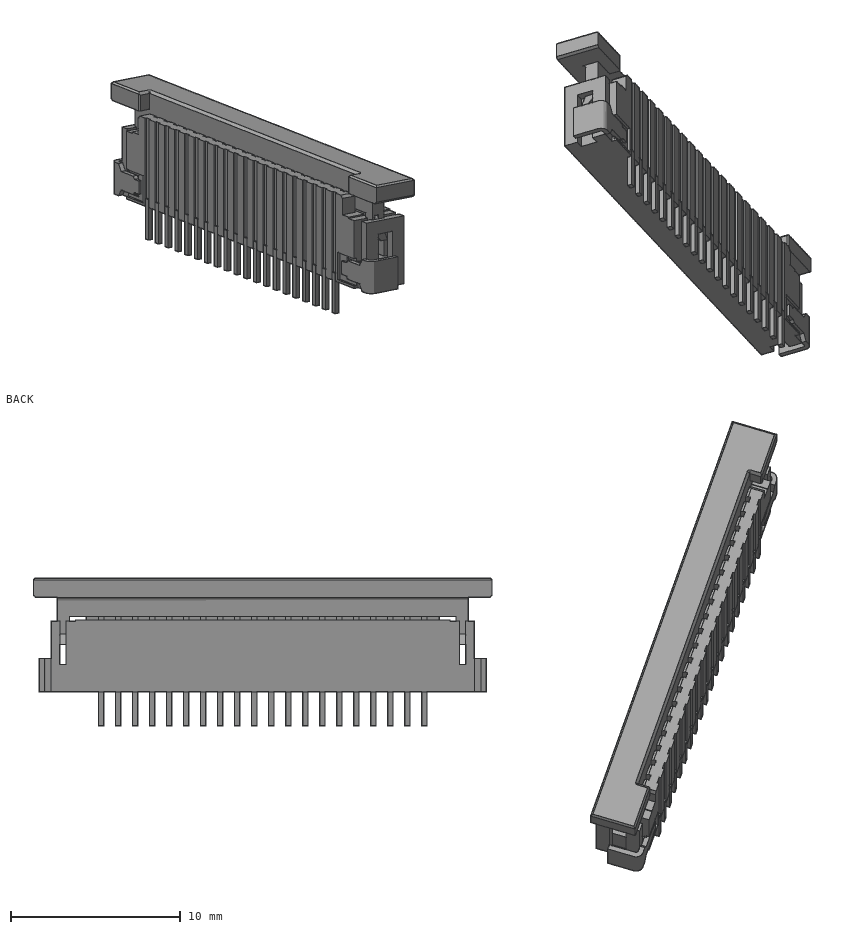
import cadquery as cq


LENGTH = 27.0
DEPTH = 3.0
HEIGHT = 8.7
FRONT = -DEPTH / 2
BACK = DEPTH / 2

PIN_COUNT = 20
PIN_ROW = 19.0
PIN_PITCH = PIN_ROW / (PIN_COUNT - 1)
PIN_WIDTH = 0.32
PIN_THICKNESS = 0.27
PIN_TOP = 2.48
GROOVE_WIDTH = 0.38
GROOVE_DEPTH = 0.1

BODY_HALF = 11.58
BODY_BOTTOM = 2.0
BODY_TOP = 6.25
SHOULDER_TOP = 6.15
SHOULDER_HALF = 11.02
WALL_HALF = 10.4
WALL_TOP = 7.4
WALL_THICKNESS = 0.92
WALL_CHAMFER = 0.15
NOTCH_DEPTH = 0.3

SLOT_FRONT = FRONT + 1.13
SLOT_BACK = FRONT + 2.15
SLOT_FLOOR = 3.62
WINDOW_TOP = 5.35

CLIP_HALF = 13.15
CLIP_THICKNESS = 0.3
CLIP_TOP = 3.97
CLIP_BEND = 0.43
CLIP_BACK = FRONT + 2.05
CLIP_MIDDLE = (CLIP_TOP + BODY_BOTTOM) / 2
TONGUE_HALF = 0.57
TONGUE_TIP_HALF = 0.4
TONGUE_TIP = 10.31
TONGUE_STEP = 10.77
TONGUE_STEP_RUN = 0.15
TONGUE_ROOT = 12.12
TONGUE_ROOT_RUN = 0.27
POCKET_END = 9.9
POCKET_HALF = 0.85
POCKET_DEPTH = 0.15
TONGUE_SLOT_END = 10.6
TONGUE_SLOT_HALF = 0.65

PLATE_OUTER = 12.45
PLATE_INNER = 11.93
PLATE_FRONT = FRONT + CLIP_THICKNESS

CAP_FRONT = FRONT + 0.25
CAP_BOTTOM = 7.55
CAP_EDGE = 0.1
CAP_END_CHAMFER = 0.14
RECESS_HALF = 10.6
RECESS_CHAMFER = 0.15
RECESS_CORNER = 0.08
SLIDER_HALF = 12.1
SLIDER_FRONT = FRONT + 0.97
SLIDER_BACK = FRONT + 1.78
SLIDER_BOTTOM = 6.43
ROOT_FILLET = 0.22
LEG_INNER = 11.37
HOOK_TOP = 5.4
HOOK_BOTTOM = 4.78
HOOK_TOE = FRONT + 2.05
NICK_WIDTH = 0.27
NICK_DEPTH = 0.14
NICK_TOP = 6.4


def block(x0, x1, y0, y1, z0, z1):
    """Box between two opposite corners."""
    return cq.Workplane("XY").box(x1 - x0, y1 - y0, z1 - z0, centered=False).translate((x0, y0, z0))


def across(half, y0, y1, z0, z1):
    """Box centred on X = 0."""
    return block(-half, half, y0, y1, z0, z1)


def both_ends(left):
    """The left-hand shape together with its mirror image."""
    return left.union(left.mirror("YZ"))


def pin_centres():
    first = -PIN_ROW / 2
    return [first + i * PIN_PITCH for i in range(PIN_COUNT)]


def at_pins(width, y0, y1, z0, z1):
    """A box of the given width at every pin."""
    centres = [(x, (y0 + y1) / 2) for x in pin_centres()]
    base = cq.Workplane("XY").workplane(offset=z0).pushPoints(centres)
    return base.rect(width, y1 - y0).extrude(z1 - z0)


def make_housing():
    wall_back = FRONT + WALL_THICKNESS
    body = across(BODY_HALF, FRONT, BACK, BODY_BOTTOM, SHOULDER_TOP)
    body = body.union(across(SHOULDER_HALF, FRONT, BACK, SHOULDER_TOP, BODY_TOP))

    wall = across(WALL_HALF, FRONT, wall_back, BODY_BOTTOM, WALL_TOP)
    wall = wall.faces(">Z").edges(">Y or <X or >X").chamfer(WALL_CHAMFER)
    body = body.cut(across(BODY_HALF, SLOT_FRONT, SLOT_BACK, SLOT_FLOOR, BODY_TOP)).union(wall)

    body = body.cut(at_pins(GROOVE_WIDTH, FRONT, FRONT + GROOVE_DEPTH, BODY_BOTTOM, WALL_TOP))
    return body.cut(at_pins(PIN_WIDTH, wall_back - NOTCH_DEPTH, wall_back, BODY_TOP, WALL_TOP))


def make_end_plate():
    plate = block(-PLATE_OUTER, -PLATE_INNER, PLATE_FRONT, BACK, BODY_BOTTOM, SHOULDER_TOP)
    bridge = block(-PLATE_INNER, -BODY_HALF, PLATE_FRONT, BACK, BODY_BOTTOM, SLOT_FLOOR)
    window = block(-PLATE_OUTER, -PLATE_INNER, SLOT_FRONT, SLOT_BACK, BODY_BOTTOM, WINDOW_TOP)
    return plate.cut(window).union(bridge)


def make_clip_pocket():
    """Shallow pocket round the clip tongue, with a deeper slot along the wide part of the tongue."""
    def pocket(end, half, depth):
        return block(-BODY_HALF, -end, FRONT, FRONT + depth, CLIP_MIDDLE - half, CLIP_MIDDLE + half)

    shallow = pocket(POCKET_END, POCKET_HALF, POCKET_DEPTH)
    return shallow.union(pocket(TONGUE_SLOT_END, TONGUE_SLOT_HALF, CLIP_THICKNESS))


def make_clip():
    strip = block(-CLIP_HALF, -TONGUE_TIP, FRONT, CLIP_BACK, BODY_BOTTOM, CLIP_TOP)
    strip = strip.edges("|Z and <X and <Y").fillet(CLIP_BEND)
    inside = block(
        -CLIP_HALF + CLIP_THICKNESS, -TONGUE_TIP, FRONT + CLIP_THICKNESS, CLIP_BACK, BODY_BOTTOM, CLIP_TOP
    )
    inside = inside.edges("|Z and <X and <Y").fillet(CLIP_BEND - CLIP_THICKNESS)

    upper = [
        (-CLIP_HALF, CLIP_TOP),
        (-TONGUE_ROOT - TONGUE_ROOT_RUN, CLIP_TOP),
        (-TONGUE_ROOT, CLIP_MIDDLE + TONGUE_HALF),
        (-TONGUE_STEP - TONGUE_STEP_RUN, CLIP_MIDDLE + TONGUE_HALF),
        (-TONGUE_STEP, CLIP_MIDDLE + TONGUE_TIP_HALF),
        (-TONGUE_TIP, CLIP_MIDDLE + TONGUE_TIP_HALF),
    ]
    lower = [(x, 2 * CLIP_MIDDLE - z) for x, z in reversed(upper)]
    outline = cq.Workplane("XZ", origin=(0, FRONT, 0)).polyline(upper + lower).close().extrude(-DEPTH)
    return strip.cut(inside).intersect(outline)


def make_cap():
    cap = across(LENGTH / 2, CAP_FRONT, BACK, CAP_BOTTOM, HEIGHT)
    cap = cap.faces(">Z").edges().chamfer(CAP_EDGE)
    cap = cap.faces("<Z").edges("<X or >X").chamfer(CAP_END_CHAMFER)

    recess = across(RECESS_HALF, FRONT, SLIDER_FRONT, CAP_BOTTOM, HEIGHT)
    corners = cq.selectors.BoxSelector(
        (-RECESS_HALF - CAP_EDGE, CAP_FRONT - CAP_EDGE, CAP_BOTTOM),
        (RECESS_HALF + CAP_EDGE, CAP_FRONT + CAP_EDGE, HEIGHT),
    )
    cap = cap.cut(recess)
    cap = cap.edges("|Z").edges(corners).chamfer(RECESS_CORNER)

    slope = (
        cq.Workplane("XY")
        .workplane(offset=HEIGHT - RECESS_CHAMFER)
        .center(0, (FRONT + SLIDER_FRONT) / 2)
        .rect(2 * RECESS_HALF, SLIDER_FRONT - FRONT)
        .extrude(RECESS_CHAMFER, taper=-45)
    )
    return cap.cut(slope)


def make_slider_body():
    body = across(SLIDER_HALF, SLIDER_FRONT, SLIDER_BACK, SLIDER_BOTTOM, CAP_BOTTOM)
    root = (
        cq.Workplane("YZ", origin=(-SLIDER_HALF, 0, 0))
        .moveTo(SLIDER_BACK, CAP_BOTTOM)
        .lineTo(SLIDER_BACK + ROOT_FILLET, CAP_BOTTOM)
        .radiusArc((SLIDER_BACK, CAP_BOTTOM - ROOT_FILLET), -ROOT_FILLET)
        .close()
        .extrude(2 * SLIDER_HALF)
    )
    return body.union(root)


def make_leg():
    """Leg reaching down beside the housing and ending in a hook toward the back."""
    drop = HOOK_TOP - HOOK_BOTTOM
    outline = [
        (SLIDER_FRONT, SLIDER_BOTTOM),
        (SLIDER_FRONT, HOOK_TOP),
        (SLIDER_FRONT + drop, HOOK_BOTTOM),
        (HOOK_TOE, HOOK_BOTTOM),
        (SLIDER_BACK, HOOK_TOP),
        (SLIDER_BACK, SLIDER_BOTTOM),
    ]
    side = cq.Workplane("YZ", origin=(-SLIDER_HALF, 0, 0)).polyline(outline).close()
    return side.extrude(SLIDER_HALF - LEG_INNER)


def make_leg_nick():
    """Shallow wedge cut into the outer face of a leg, just above the end plate."""
    profile = [
        (-SLIDER_HALF, SHOULDER_TOP),
        (-SLIDER_HALF, NICK_TOP),
        (-SLIDER_HALF + NICK_DEPTH, NICK_TOP),
    ]
    return cq.Workplane("XZ", origin=(0, SLOT_FRONT, 0)).polyline(profile).close().extrude(-NICK_WIDTH)


result = (
    make_housing()
    .cut(both_ends(make_clip_pocket()))
    .union(both_ends(make_end_plate()))
    .union(both_ends(make_clip()))
    .union(at_pins(PIN_WIDTH, FRONT, FRONT + PIN_THICKNESS, 0, PIN_TOP))
    .union(make_cap())
    .union(make_slider_body())
    .union(both_ends(make_leg().cut(make_leg_nick())))
)